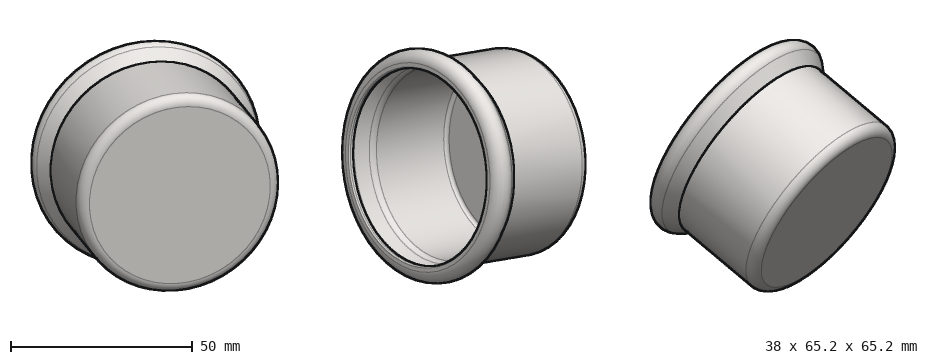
import cadquery as cq
import math

length = 38.0
rim_radius = 32.6
body_radius = 57.7 / 2

bead_radius = 3.5
bead_center_radius = rim_radius - bead_radius
cone_angle = math.radians(39)
arc_middle_angle = (cone_angle - math.pi / 2) / 2

lip_radius = 55.0 / 2
bore_radius = 54.4 / 2
wall = body_radius - bore_radius
lip_round = 0.4
inner_bend_radius = 3.2
floor_thickness = wall
outer_corner = 3.0
inner_corner = 1.05


def bead_point(angle, arc_radius):
    """Point (x, radius) on an arc about the bead center, angle from the radial direction towards +X."""
    return (
        bead_radius + arc_radius * math.sin(angle),
        bead_center_radius + arc_radius * math.cos(angle),
    )


def corner_middle(x, radius, size):
    """Middle of a quarter round that ends at a face x and at a cylinder of the given radius."""
    inset = size * (1 - math.sqrt(0.5))
    return (x - inset, radius - inset)


cone_start = bead_point(cone_angle, bead_radius)
cone_end_x = cone_start[0] + (cone_start[1] - body_radius) / math.tan(cone_angle)

curl_radius = bead_radius - wall
inner_cone_start = bead_point(cone_angle, curl_radius)
inner_cone_end_x = inner_cone_start[0] + (inner_cone_start[1] - bore_radius) / math.tan(cone_angle)
bend_center_x = inner_cone_end_x + inner_bend_radius * math.tan(cone_angle / 2)


def bend_point(angle):
    """Point on the inner bend, angle measured from the bore back towards the cone."""
    return (
        bend_center_x - inner_bend_radius * math.sin(angle),
        bore_radius + inner_bend_radius * (1 - math.cos(angle)),
    )


floor_x = length - floor_thickness
lip_inset = lip_round * (1 - math.sqrt(0.5))
lip_edge_radius = lip_radius + lip_round

profile = (
    cq.Workplane("XY")
    .moveTo(floor_x, 0)
    .lineTo(length, 0)
    .lineTo(length, body_radius - outer_corner)
    .threePointArc(corner_middle(length, body_radius, outer_corner), (length - outer_corner, body_radius))
    .lineTo(cone_end_x, body_radius)
    .lineTo(*cone_start)
    .threePointArc(bead_point(arc_middle_angle, bead_radius), (0, bead_center_radius))
    .lineTo(0, lip_edge_radius)
    .threePointArc((lip_inset, lip_radius + lip_inset), (lip_round, lip_radius))
    .lineTo(wall - lip_round, lip_radius)
    .threePointArc((wall - lip_inset, lip_radius + lip_inset), (wall, lip_edge_radius))
    .lineTo(wall, bead_center_radius)
    .threePointArc(bead_point(arc_middle_angle, curl_radius), inner_cone_start)
    .lineTo(*bend_point(cone_angle))
    .threePointArc(bend_point(cone_angle / 2), bend_point(0))
    .lineTo(floor_x - inner_corner, bore_radius)
    .threePointArc(corner_middle(floor_x, bore_radius, inner_corner), (floor_x, bore_radius - inner_corner))
    .close()
)
result = profile.revolve(360, (0, 0, 0), (1, 0, 0))